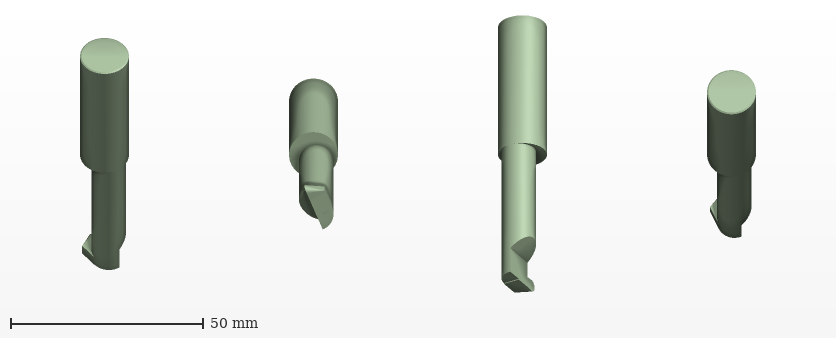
import cadquery as cq
import math

TOTAL_LENGTH = 76.15
SHANK_DIAMETER = 12.7
SHANK_RADIUS = SHANK_DIAMETER / 2
SHANK_LENGTH = 38.1
CHAMFER_HEIGHT = 0.2
CHAMFER_INSET = 0.4

NECK_DIAMETER = 9.0
NECK_RADIUS = NECK_DIAMETER / 2
NECK_X = SHANK_RADIUS - NECK_RADIUS
NECK_BOTTOM = 0.4
SHANK_BOTTOM = TOTAL_LENGTH - SHANK_LENGTH

RELIEF_LOW = 7.3
RELIEF_HIGH = 11.3

TIP_X = -SHANK_RADIUS
TIP_WIDTH = 3.2
NOSE_FLAT = 0.1
NOSE_RADIUS = (TIP_WIDTH - NOSE_FLAT) / 2
MID_Z = TIP_WIDTH / 2
SIDE_CLEARANCE = 0.15
BLOCK_HEIGHT = TIP_WIDTH - 2 * SIDE_CLEARANCE
HEEL_X = -3.65
HEEL_RADIUS = 0.04
TIP_ROOT_X = -2.6
HEEL_ROOT_X = -2.9


def make_shank():
    cylinder = cq.Workplane("XY").workplane(offset=SHANK_BOTTOM).circle(SHANK_RADIUS).extrude(SHANK_LENGTH)
    return cylinder.faces(">Z").chamfer(CHAMFER_HEIGHT, CHAMFER_INSET)


def make_neck():
    neck = (
        cq.Workplane("XY", origin=(NECK_X, 0, NECK_BOTTOM))
        .circle(NECK_RADIUS)
        .extrude(SHANK_BOTTOM - NECK_BOTTOM)
    )
    relief = (
        cq.Workplane("YZ", origin=(NECK_X, 0, 0))
        .moveTo(0, 0)
        .lineTo(0, RELIEF_LOW)
        .lineTo(NECK_RADIUS, RELIEF_HIGH)
        .lineTo(NECK_RADIUS, 0)
        .close()
        .extrude(NECK_RADIUS, both=True)
    )
    return neck.cut(relief)


def tip_section(y, front_x, root_x, height, corner_radius):
    """Closed XZ section at y, with two quarter-round corners on its -X side."""
    half_height = height / 2
    half_root = BLOCK_HEIGHT / 2
    arc_x = front_x + corner_radius
    flat_half = half_height - corner_radius
    diagonal = corner_radius * math.sqrt(0.5)

    def point(x, dz):
        return cq.Vector(x, y, MID_Z + dz)

    def corner(side):
        return (
            point(arc_x, side * half_height),
            point(arc_x - diagonal, side * (flat_half + diagonal)),
            point(front_x, side * flat_half),
        )

    top_start, top_middle, top_end = corner(1)
    bottom_start, bottom_middle, bottom_end = corner(-1)
    root_top = point(root_x, half_root)
    root_bottom = point(root_x, -half_root)
    return cq.Wire.assembleEdges([
        cq.Edge.makeLine(root_top, top_start),
        cq.Edge.makeThreePointArc(top_start, top_middle, top_end),
        cq.Edge.makeLine(top_end, bottom_end),
        cq.Edge.makeThreePointArc(bottom_end, bottom_middle, bottom_start),
        cq.Edge.makeLine(bottom_start, root_bottom),
        cq.Edge.makeLine(root_bottom, root_top),
    ])


def make_head():
    cutting_edge = tip_section(0, TIP_X, TIP_ROOT_X, TIP_WIDTH, NOSE_RADIUS)
    heel = tip_section(-NECK_RADIUS, HEEL_X, HEEL_ROOT_X, BLOCK_HEIGHT, HEEL_RADIUS)
    tip = cq.Workplane(cq.Solid.makeLoft([cutting_edge, heel], True))
    block = (
        cq.Workplane("XY", origin=(0, 0, SIDE_CLEARANCE))
        .moveTo(TIP_ROOT_X, 0)
        .lineTo(HEEL_ROOT_X, -NECK_RADIUS)
        .lineTo(NECK_X, -NECK_RADIUS)
        .lineTo(NECK_X, 0)
        .close()
        .extrude(BLOCK_HEIGHT)
    )
    return block.union(tip)


result = make_shank().union(make_neck()).union(make_head())